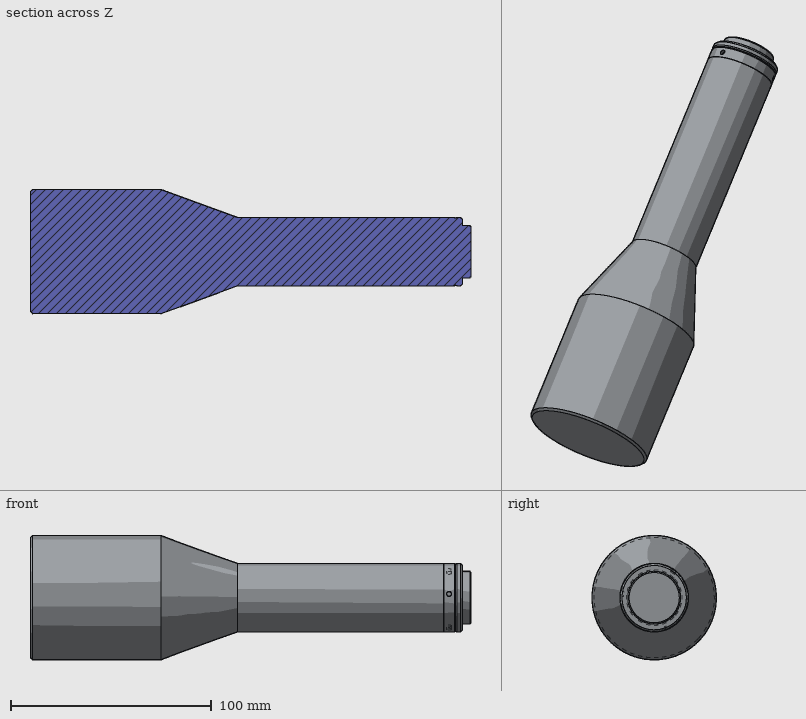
import cadquery as cq
import math

total_length = 219.5
body_length = 65.0
cone_end = 103.1
barrel_end = 215.2

body_diameter = 62.0
body_radius = body_diameter / 2
barrel_radius = 17.1
mount_radius = 13.2

body_chamfer = 1.0
barrel_chamfer = 1.0
mount_chamfer = 0.7

ring_joint_x = 205.8
ring_joint_width = 0.1
ring_joint_depth = 3.3
vee_groove_x = 211.7
vee_groove_width = 1.3
vee_groove_depth = 0.33

screw_count = 3
screw_x = 208.5
screw_diameter = 2.5
screw_depth = 1.8
first_screw_angle = 6.5


def ring_groove(center_x, width, outer_radius, depth):
    """Square-sided cutter for a groove around the X axis."""
    return (
        cq.Workplane("YZ", origin=(center_x - width / 2, 0, 0))
        .circle(outer_radius + depth)
        .circle(outer_radius - depth)
        .extrude(width)
    )


def turned_blank():
    """Half profile of the body, cone, grooved barrel and mount, revolved about X."""
    profile = [
        (0, 0),
        (0, body_radius - body_chamfer),
        (body_chamfer, body_radius),
        (body_length, body_radius),
        (cone_end, barrel_radius),
        (vee_groove_x - vee_groove_width / 2, barrel_radius),
        (vee_groove_x, barrel_radius - vee_groove_depth),
        (vee_groove_x + vee_groove_width / 2, barrel_radius),
        (barrel_end - barrel_chamfer, barrel_radius),
        (barrel_end, barrel_radius - barrel_chamfer),
        (barrel_end, mount_radius),
        (total_length - mount_chamfer, mount_radius),
        (total_length, mount_radius - mount_chamfer),
        (total_length, 0),
    ]
    return cq.Workplane("XY").polyline(profile).close().revolve(360, (0, 0, 0), (1, 0, 0))


def screw_hole(angle):
    """Blind radial hole cutter at an angle from -Y towards +Z."""
    radial = cq.Vector(0, -math.cos(math.radians(angle)), math.sin(math.radians(angle)))
    floor = cq.Vector(screw_x, 0, 0) + radial * (barrel_radius - screw_depth)
    return cq.Solid.makeCylinder(screw_diameter / 2, 2 * screw_depth, floor, radial)


result = turned_blank()
result = result.cut(ring_groove(ring_joint_x, ring_joint_width, barrel_radius, ring_joint_depth))

for index in range(screw_count):
    angle = first_screw_angle + index * 360 / screw_count
    result = result.cut(cq.Workplane(screw_hole(angle)))